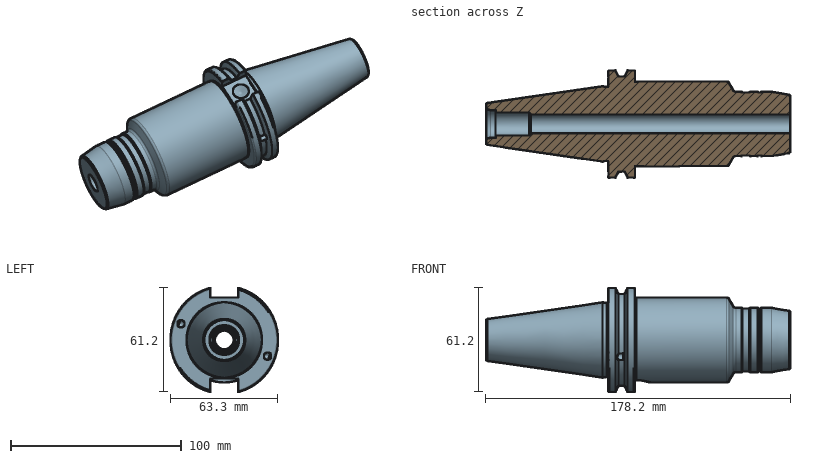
import cadquery as cq
import math


length = 178.2
taper_length = 68.3
taper_small_diameter = 24.8
gauge_diameter = 44.4
taper_edge_chamfer = 0.7
relief_diameter = 43.7
relief_start = 69.9
relief_end = 71.0

flange_start = 71.5
flange_end = 87.3
flange_diameter = 63.3
flange_round = 0.9
groove_center = 79.3
groove_diameter = 56.3
groove_floor_width = 3.5
groove_mouth_width = 7.1

neck_diameter = 49.5
neck_end = 88.0
body_diameter = 49.9
body_end = 140.8
nose_diameter = 38.0
shoulder_radius = 1.8
shoulder_angle = math.radians(60)

ring_diameter = 37.0
wide_ring_start = 149.5
wide_ring_end = 154.9
narrow_ring_start = 159.0
narrow_ring_end = 161.5
ring_chamfer = 0.7
nose_taper_start = 167.2
tip_diameter = 34.4
tip_chamfer = 0.7

bore_diameter = 10.9
thread_diameter = 13.4
thread_depth = 25.0
socket_diameter = 16.0
socket_depth = 5.5
mouth_diameter = 17.5
mouth_depth = 2.5

slot_width = 16.2
top_slot_floor = 25.0
bottom_slot_floor = 22.6
bottom_slot_end = 95.9
dimple_diameter = 9.5
drill_angle = math.radians(118)

coolant_diameter = 4.3
coolant_circle_radius = 27.1
coolant_angles = (20.5, 200.5)
coolant_end = 80.2


def ring_groove_points(start, end):
    """Profile points of a chamfer-sided ring groove in the nose."""
    outer = nose_diameter / 2
    inner = ring_diameter / 2
    return [
        (start, outer),
        (start + ring_chamfer, inner),
        (end - ring_chamfer, inner),
        (end, outer),
    ]


def make_turned_body():
    """Solid of revolution of the whole outer outline."""
    small = taper_small_diameter / 2
    relief = relief_diameter / 2
    flange = flange_diameter / 2
    groove = groove_diameter / 2
    neck = neck_diameter / 2
    body = body_diameter / 2
    nose = nose_diameter / 2
    tip = tip_diameter / 2
    round_inset = flange_round * (1 - math.sqrt(0.5))

    def along(turn):
        return shoulder_radius * math.sin(turn)

    def drop(turn):
        return shoulder_radius * (1 - math.cos(turn))

    half = shoulder_angle / 2
    cone_drop = body - nose - 2 * drop(shoulder_angle)
    cone_length = cone_drop / math.tan(shoulder_angle)
    shoulder_end = body_end + 2 * along(shoulder_angle) + cone_length
    profile = (
        cq.Workplane("XY")
        .moveTo(0, 0)
        .lineTo(0, small - taper_edge_chamfer)
        .lineTo(taper_edge_chamfer, small)
        .lineTo(taper_length, gauge_diameter / 2)
        .lineTo(relief_start, relief)
        .lineTo(relief_end, relief)
        .lineTo(flange_start, gauge_diameter / 2)
        .lineTo(flange_start, flange - flange_round)
        .threePointArc(
            (flange_start + round_inset, flange - round_inset),
            (flange_start + flange_round, flange),
        )
        .lineTo(groove_center - groove_mouth_width / 2, flange)
        .lineTo(groove_center - groove_floor_width / 2, groove)
        .lineTo(groove_center + groove_floor_width / 2, groove)
        .lineTo(groove_center + groove_mouth_width / 2, flange)
        .lineTo(flange_end - flange_round, flange)
        .threePointArc(
            (flange_end - round_inset, flange - round_inset),
            (flange_end, flange - flange_round),
        )
        .lineTo(flange_end, neck)
        .lineTo(neck_end, neck)
        .lineTo(neck_end, body)
        .lineTo(body_end, body)
        .threePointArc(
            (body_end + along(half), body - drop(half)),
            (body_end + along(shoulder_angle), body - drop(shoulder_angle)),
        )
        .lineTo(shoulder_end - along(shoulder_angle), nose + drop(shoulder_angle))
        .threePointArc(
            (shoulder_end - along(half), nose + drop(half)),
            (shoulder_end, nose),
        )
    )
    ring_grooves = ((wide_ring_start, wide_ring_end), (narrow_ring_start, narrow_ring_end))
    for start, end in ring_grooves:
        for point in ring_groove_points(start, end):
            profile = profile.lineTo(*point)
    return (
        profile
        .lineTo(nose_taper_start, nose)
        .lineTo(length - tip_chamfer, tip)
        .lineTo(length, tip - tip_chamfer)
        .lineTo(length, 0)
        .close()
        .revolve(360, (0, 0, 0), (1, 0, 0))
    )


def make_bore():
    """Stepped through bore, widest at the small end of the taper."""
    bore = bore_diameter / 2
    thread = thread_diameter / 2
    socket = socket_diameter / 2
    return (
        cq.Workplane("XY")
        .moveTo(0, 0)
        .lineTo(0, mouth_diameter / 2)
        .lineTo(mouth_depth, socket)
        .lineTo(socket_depth, socket)
        .lineTo(socket_depth, thread)
        .lineTo(thread_depth, thread)
        .lineTo(thread_depth + thread - bore, bore)
        .lineTo(length, bore)
        .lineTo(length, 0)
        .close()
        .revolve(360, (0, 0, 0), (1, 0, 0))
    )


def make_top_slot():
    """Square drive slot across the flange, with a conical dimple in its floor."""
    width = flange_end - flange_start
    height = flange_diameter / 2
    slot = (
        cq.Workplane("XY", origin=(flange_start + width / 2, 0, top_slot_floor))
        .rect(width, slot_width)
        .extrude(height)
    )
    radius = dimple_diameter / 2
    depth = radius / math.tan(drill_angle / 2)
    dimple = cq.Solid.makeCone(
        radius, 0, depth, cq.Vector(groove_center, 0, top_slot_floor), cq.Vector(0, 0, -1)
    )
    return slot.union(cq.Workplane(dimple))


def make_bottom_slot():
    """Deeper drive slot that runs into the body and ends in a half circle."""
    end_center = bottom_slot_end - slot_width / 2
    half = slot_width / 2
    return (
        cq.Workplane("XY", origin=(0, 0, -bottom_slot_floor))
        .moveTo(flange_start, -half)
        .lineTo(end_center, -half)
        .threePointArc((bottom_slot_end, 0), (end_center, half))
        .lineTo(flange_start, half)
        .close()
        .extrude(-flange_diameter / 2)
    )


def make_coolant_holes():
    """Pair of axial drilled holes that break through the floor of the flange groove."""
    radius = coolant_diameter / 2
    tip_depth = radius / math.tan(drill_angle / 2)
    hole = (
        cq.Workplane("XY")
        .moveTo(flange_start, 0)
        .lineTo(flange_start, radius)
        .lineTo(coolant_end, radius)
        .lineTo(coolant_end + tip_depth, 0)
        .close()
        .revolve(360, (0, 0, 0), (1, 0, 0))
        .translate((0, coolant_circle_radius, 0))
    )
    holes = cq.Workplane("XY")
    for angle in coolant_angles:
        holes = holes.union(hole.rotate((0, 0, 0), (1, 0, 0), angle))
    return holes


result = (
    make_turned_body()
    .cut(make_bore())
    .cut(make_top_slot())
    .cut(make_bottom_slot())
    .cut(make_coolant_holes())
)